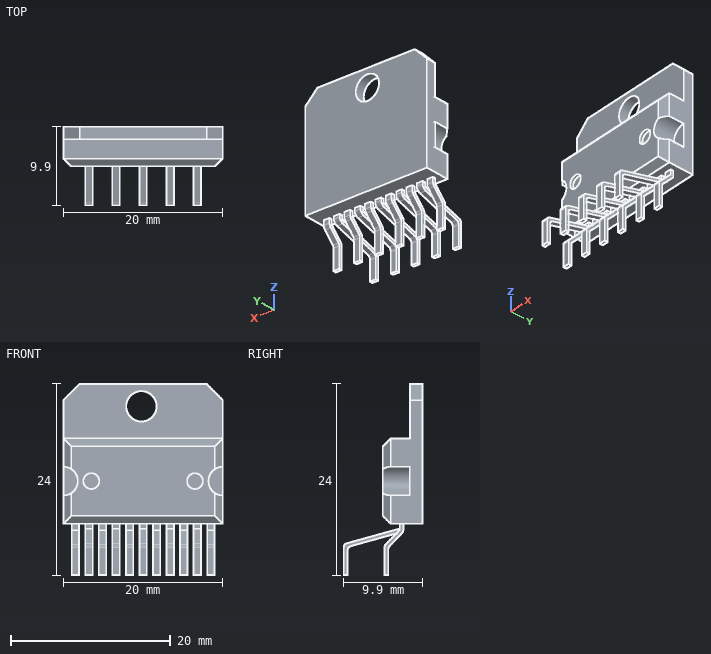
import cadquery as cq
import math


width = 20.0
total_height = 24.0
tab_thickness = 1.58
tab_corner_chamfer = 2.02
hole_diameter = 3.8
hole_offset_x = -0.22
hole_below_top = 2.8

body_bottom = 6.45
body_height = 10.7
body_depth = 5.0
body_chamfer = 0.98
body_middle = body_bottom + body_height / 2

notch_radius = 1.8
mark_diameter = 2.0
mark_depth = 0.5
mark_offset_x = 6.5

lead_count = 11
lead_span = 17.0
lead_pitch = lead_span / (lead_count - 1)
lead_width = 0.95
lead_thickness = 0.5
bend_radius = 0.5
root_bend_radius = 0.77
root_front = 2.88
bend_drop = 1.95
near_row_front = 4.78
near_bend_below_body = 0.8
far_row_front = 9.9
far_bend_below_body = 0.6


def front_sketch(depth):
    """XZ workplane at the given depth in front of the back face, facing -Y."""
    return cq.Workplane("XZ", origin=(0, -depth, 0))


def make_tab():
    tab = (
        front_sketch(0)
        .center(0, (body_bottom + total_height) / 2)
        .rect(width, total_height - body_bottom)
        .extrude(tab_thickness)
        .edges("|Y and >Z")
        .chamfer(tab_corner_chamfer)
    )
    hole = (
        front_sketch(0)
        .center(hole_offset_x, total_height - hole_below_top)
        .circle(hole_diameter / 2)
        .extrude(tab_thickness)
    )
    return tab.cut(hole)


def make_body():
    body = (
        front_sketch(0)
        .center(0, body_middle)
        .rect(width, body_height)
        .extrude(body_depth)
        .faces("<Y")
        .chamfer(body_chamfer)
    )
    notches = (
        front_sketch(tab_thickness)
        .pushPoints([(-width / 2, body_middle), (width / 2, body_middle)])
        .circle(notch_radius)
        .extrude(body_depth - tab_thickness)
    )
    marks = (
        front_sketch(body_depth - mark_depth)
        .pushPoints([(-mark_offset_x, body_middle), (mark_offset_x, body_middle)])
        .circle(mark_diameter / 2)
        .extrude(mark_depth)
    )
    return body.cut(notches).cut(marks)


def make_lead(x, row_front, bend_below_body):
    """One flat lead: down from the body, sloping forward, then down to its tip."""
    upper_bend = body_bottom - bend_below_body
    lower_bend = upper_bend - bend_drop
    bend_angle = math.atan2(row_front - root_front, bend_drop)
    miter = lead_thickness * math.tan(bend_angle / 2)
    root_back = root_front - lead_thickness
    row_back = row_front - lead_thickness
    outline = [
        (-root_front, body_bottom),
        (-root_front, upper_bend),
        (-row_front, lower_bend),
        (-row_front, 0),
        (-row_back, 0),
        (-row_back, lower_bend - miter),
        (-root_back, upper_bend - miter),
        (-root_back, body_bottom),
    ]
    lead = (
        cq.Workplane("YZ", origin=(x, 0, 0))
        .polyline(outline)
        .close()
        .extrude(lead_width / 2, both=True)
    )
    rounded_corners = [
        (-row_front, lower_bend, bend_radius),
        (-row_back, lower_bend - miter, bend_radius),
        (-root_back, upper_bend - miter, root_bend_radius),
    ]
    for y, z, radius in rounded_corners:
        lead = lead.edges(cq.NearestToPointSelector((x, y, z))).fillet(radius)
    return lead


result = make_tab().union(make_body())
for index in range(lead_count):
    lead_x = index * lead_pitch - lead_span / 2
    if index % 2 == 0:
        lead = make_lead(lead_x, near_row_front, near_bend_below_body)
    else:
        lead = make_lead(lead_x, far_row_front, far_bend_below_body)
    result = result.union(lead)